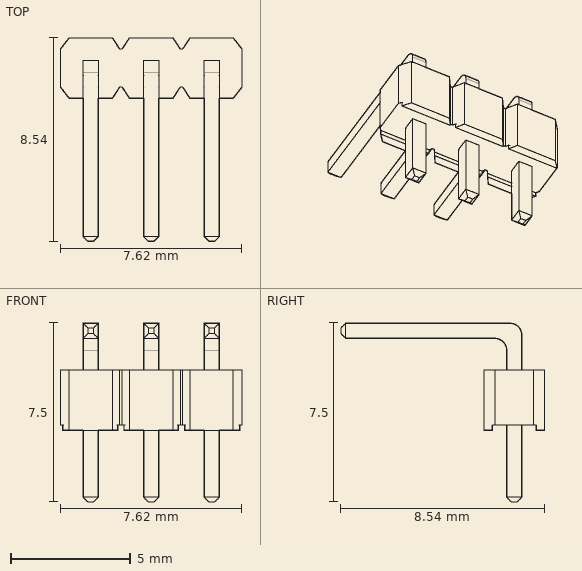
import cadquery as cq


pin_count = 3
pitch = 2.54
housing_depth = pitch
housing_height = 2.54
corner_x = 0.37
corner_y = 0.47
notch_floor_width = 0.10
notch_mouth_width = 0.71
channel_height = 0.22
foot_depth = 0.35

pin_width = 0.64
pin_rise = 1.96
pin_drop = 3.0
total_depth = 8.54
bend_radius = 0.5
tip_taper = 0.2

housing_length = pin_count * pitch
half_length = housing_length / 2
half_depth = housing_depth / 2
half_pin = pin_width / 2
pin_top = housing_height + pin_rise
tip_y = half_depth - total_depth


def make_notch(x, side):
    """V-shaped notch with a flat floor, on the +Y (side = 1) or -Y (side = -1) face."""
    mouth_y = side * half_depth
    floor_y = side * (half_depth - corner_y)
    return (
        cq.Workplane("XY")
        .moveTo(x - notch_mouth_width / 2, mouth_y)
        .lineTo(x - notch_floor_width / 2, floor_y)
        .lineTo(x + notch_floor_width / 2, floor_y)
        .lineTo(x + notch_mouth_width / 2, mouth_y)
        .close()
        .extrude(housing_height)
    )


def make_housing():
    """Block with cut corners, notches between the pins and a channel along its underside."""
    outline = [
        (half_length, half_depth - corner_y),
        (half_length - corner_x, half_depth),
        (corner_x - half_length, half_depth),
        (-half_length, half_depth - corner_y),
        (-half_length, corner_y - half_depth),
        (corner_x - half_length, -half_depth),
        (half_length - corner_x, -half_depth),
        (half_length, corner_y - half_depth),
    ]
    housing = cq.Workplane("XY").polyline(outline).close().extrude(housing_height)

    for i in range(1, pin_count):
        for side in (-1, 1):
            housing = housing.cut(make_notch(i * pitch - half_length, side))

    channel_width = housing_depth - 2 * foot_depth
    channel = cq.Workplane("XY").box(
        housing_length, channel_width, channel_height, centered=(True, True, False)
    )
    return housing.cut(channel)


def make_pin(x):
    """Square pin bent from vertical to -Y, tapered at both ends."""
    horizontal_leg = cq.Workplane("XY").box(
        pin_width, half_pin - tip_y, pin_width, centered=(True, False, False)
    ).translate((0, tip_y, pin_top - pin_width))
    vertical_leg = cq.Workplane("XY").box(
        pin_width, pin_width, pin_drop + pin_top, centered=(True, True, False)
    ).translate((0, 0, -pin_drop))

    pin = vertical_leg.union(horizontal_leg).clean()
    pin = pin.edges("|X and >Z and >Y").fillet(bend_radius)
    inside_corner = cq.selectors.NearestToPointSelector((0, -half_pin, pin_top - pin_width))
    pin = pin.edges("|X").edges(inside_corner).fillet(bend_radius)
    pin = pin.faces("<Z").chamfer(tip_taper)
    pin = pin.faces("<Y").chamfer(tip_taper)
    return pin.translate((x, 0, 0))


result = make_housing()
for i in range(pin_count):
    result = result.union(make_pin((i + 0.5) * pitch - half_length))